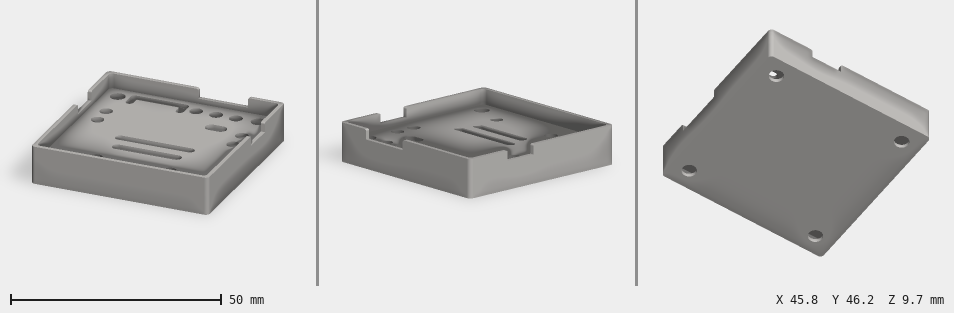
import cadquery as cq

LENGTH_X = 45.8
LENGTH_Y = 46.2
TRAY_HEIGHT = 4.85
WALL = 1.0
FLOOR = 1.0
CORNER_RADIUS = 1.0

LEDGE_DEPTH = 1.8

SCREW_HOLE_DIAMETER = 3.7
SCREW_HOLE_CENTERS = [(-18.25, 18.2), (18.05, 18.35), (-18.0, -18.0), (18.05, -18.0)]

BACK_HOLE_DIAMETER = 3.3
BACK_HOLE_Y = 17.95
BACK_HOLE_MIDDLE_X = 7.25
BACK_HOLE_PITCH = 5.15
SIDE_HOLE_DIAMETER = 3.2
SIDE_HOLE_X = 17.5
SIDE_HOLE_YS = (9.55, 4.35)
FRONT_HOLE_DIAMETER = 3.1
FRONT_HOLE_X = 9.55
FRONT_HOLE_Y = -15.0

SLOTS = [
    (10.2, 11.1, 5.5, 3.15),
    (0.4, -2.8, 20.4, 2.4),
    (0.45, -7.75, 17.85, 2.6),
]

BRACKET_LEFT = -15.45
BRACKET_RIGHT = -0.45
BRACKET_BACK = 20.4
BRACKET_FRONT = 15.5
BRACKET_BAR_WIDTH = 2.13
BRACKET_LEG_WIDTH = 2.0
BRACKET_OUTER_RADIUS = 1.0
BRACKET_INNER_RADIUS = 0.5

NOTCH_DEPTH = 2.5
NOTCH_EDGE_RADIUS = 0.45
SIDE_NOTCH_FRONT = 2.75
SIDE_NOTCH_BACK = 11.0
BACK_NOTCH_LEFT = 0.85
BACK_NOTCH_RIGHT = 13.75


def make_tray():
    """Open-topped tray with rounded corners and screw holes, standing on Z = 0."""
    tray = (
        cq.Workplane("XY")
        .rect(LENGTH_X, LENGTH_Y)
        .extrude(TRAY_HEIGHT)
        .edges("|Z")
        .fillet(CORNER_RADIUS)
    )
    cavity = (
        cq.Workplane("XY", origin=(0, 0, FLOOR))
        .rect(LENGTH_X - 2 * WALL, LENGTH_Y - 2 * WALL)
        .extrude(TRAY_HEIGHT - FLOOR)
        .edges("|Z")
        .fillet(CORNER_RADIUS)
    )
    return tray.cut(cavity).cut(floor_holes(SCREW_HOLE_CENTERS, SCREW_HOLE_DIAMETER))


def floor_holes(centers, diameter):
    """Cylinders that pierce the floor at the given points."""
    return cq.Workplane("XY").pushPoints(centers).circle(diameter / 2).extrude(FLOOR)


def round_openings():
    """Tools for the three groups of round openings."""
    back_centers = [(BACK_HOLE_MIDDLE_X + i * BACK_HOLE_PITCH, BACK_HOLE_Y) for i in (-1, 0, 1)]
    side_centers = [(side * SIDE_HOLE_X, y) for side in (-1, 1) for y in SIDE_HOLE_YS]
    front_centers = [(side * FRONT_HOLE_X, FRONT_HOLE_Y) for side in (-1, 1)]
    return [
        floor_holes(back_centers, BACK_HOLE_DIAMETER),
        floor_holes(side_centers, SIDE_HOLE_DIAMETER),
        floor_holes(front_centers, FRONT_HOLE_DIAMETER),
    ]


def floor_slot(x, y, length, width):
    """Tool for a round-ended slot along X through the floor."""
    return cq.Workplane("XY").center(x, y).slot2D(length, width).extrude(FLOOR)


def bracket_opening():
    """Tool for the bracket-shaped opening through the floor."""
    leg_radius = BRACKET_LEG_WIDTH / 2
    leg_end = BRACKET_FRONT + leg_radius
    bar_front = BRACKET_BACK - BRACKET_BAR_WIDTH
    left_inner = BRACKET_LEFT + BRACKET_LEG_WIDTH
    right_inner = BRACKET_RIGHT - BRACKET_LEG_WIDTH
    opening = (
        cq.Workplane("XY")
        .moveTo(BRACKET_LEFT, leg_end)
        .lineTo(BRACKET_LEFT, BRACKET_BACK)
        .lineTo(BRACKET_RIGHT, BRACKET_BACK)
        .lineTo(BRACKET_RIGHT, leg_end)
        .threePointArc((BRACKET_RIGHT - leg_radius, BRACKET_FRONT), (right_inner, leg_end))
        .lineTo(right_inner, bar_front)
        .lineTo(left_inner, bar_front)
        .lineTo(left_inner, leg_end)
        .threePointArc((BRACKET_LEFT + leg_radius, BRACKET_FRONT), (BRACKET_LEFT, leg_end))
        .close()
        .extrude(FLOOR)
    )
    opening = opening.edges("|Z and >Y").fillet(BRACKET_OUTER_RADIUS)
    inner_corners = cq.selectors.BoxSelector(
        (left_inner - leg_radius / 2, bar_front - leg_radius / 2, 0),
        (right_inner + leg_radius / 2, bar_front + leg_radius / 2, FLOOR),
    )
    return opening.edges("|Z").edges(inner_corners).fillet(BRACKET_INNER_RADIUS)


def rim_notch(plane, start, end, thickness):
    """Tool for a rim notch from start to end, its mouth rounded outward at the rim.

    The profile lies on the named plane and is extruded by thickness along its normal.
    """
    bottom = TRAY_HEIGHT - NOTCH_DEPTH
    shoulder = TRAY_HEIGHT - NOTCH_EDGE_RADIUS
    return (
        cq.Workplane(plane)
        .moveTo(start, bottom)
        .lineTo(end, bottom)
        .lineTo(end, shoulder)
        .radiusArc((end + NOTCH_EDGE_RADIUS, TRAY_HEIGHT), NOTCH_EDGE_RADIUS)
        .lineTo(start - NOTCH_EDGE_RADIUS, TRAY_HEIGHT)
        .radiusArc((start, shoulder), NOTCH_EDGE_RADIUS)
        .close()
        .extrude(thickness)
    )


def make_lower_tray():
    """Bottom tray of the stack, with a full-height ledge filling the back of its cavity."""
    ledge_center_y = LENGTH_Y / 2 - WALL - LEDGE_DEPTH / 2
    ledge = (
        cq.Workplane("XY", origin=(0, ledge_center_y, FLOOR))
        .rect(LENGTH_X - 2 * WALL, LEDGE_DEPTH)
        .extrude(TRAY_HEIGHT - FLOOR)
    )
    return make_tray().union(ledge)


def make_upper_tray():
    """Tray with floor openings and rim notches, standing on the lower tray."""
    tray = make_tray()
    for openings in round_openings():
        tray = tray.cut(openings)
    for slot in SLOTS:
        tray = tray.cut(floor_slot(*slot))
    tray = tray.cut(bracket_opening())

    side_notches = rim_notch("YZ", SIDE_NOTCH_FRONT, SIDE_NOTCH_BACK, LENGTH_X)
    back_notch = rim_notch("XZ", BACK_NOTCH_LEFT, BACK_NOTCH_RIGHT, -LENGTH_Y / 2)
    tray = tray.cut(side_notches.translate((-LENGTH_X / 2, 0, 0))).cut(back_notch)
    return tray.translate((0, 0, TRAY_HEIGHT))


lower_tray = make_lower_tray()
upper_tray = make_upper_tray()
result = cq.Compound.makeCompound([lower_tray.val(), upper_tray.val()])